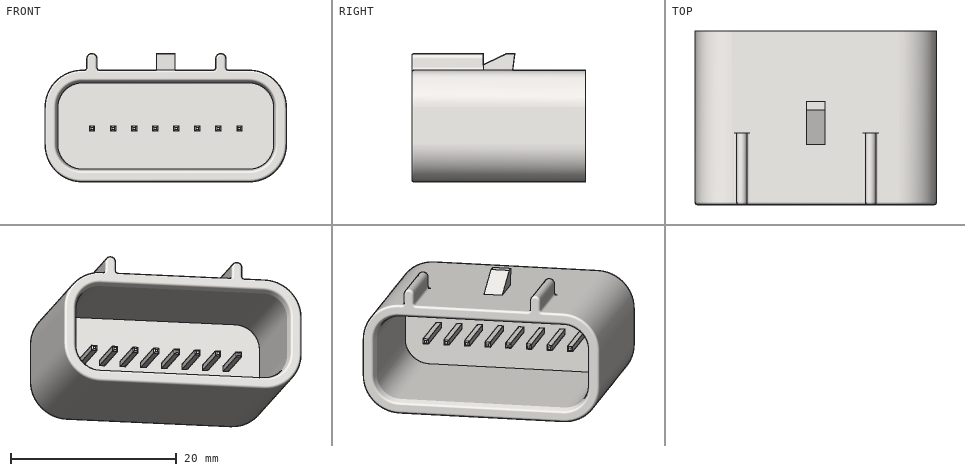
import cadquery as cq
import math

BODY_WIDTH = 29.15
BODY_DEPTH = 21.0
BODY_HEIGHT = 13.5
CORNER_RADIUS = 4.5
RIM_FILLET = 0.3

WALL = 1.55
ENTRY_WALL = 1.25
ENTRY_DEPTH = 1.0
MOUTH_FILLET = 0.3
CAVITY_DEPTH = 18.0

TOTAL_HEIGHT = 15.5
RIB_WIDTH = 1.25
RIB_LENGTH = 8.65
RIB_POSITIONS = (-8.91, 6.65)
RIB_ROOT_FILLET = 0.3
LATCH_WIDTH = 2.25
LATCH_RAMP_START = 7.25
LATCH_RAMP_END = 11.45
LATCH_TIP = 12.45
LATCH_UNDERCUT = 0.25

PIN_COUNT = 8
PIN_PITCH = 2.54
PIN_SIZE = 0.64
PIN_CHAMFER = 0.18
PIN_LENGTH = 8.0
PIN_Z = -0.3

OVERLAP = 0.3

BODY_TOP = BODY_HEIGHT / 2
FEATURE_TOP = BODY_TOP + TOTAL_HEIGHT - BODY_HEIGHT


def rounded_block(inset, length, taper=0):
    """Body outline shrunk by inset, extruded toward +Y from the front plane."""
    outline = cq.Sketch().rect(BODY_WIDTH - 2 * inset, BODY_HEIGHT - 2 * inset)
    outline = outline.vertices().fillet(CORNER_RADIUS - inset)
    plane = cq.Plane(origin=(0, 0, 0), xDir=(-1, 0, 0), normal=(0, 1, 0))
    return cq.Workplane(plane).placeSketch(outline).extrude(length, taper=taper)


def rib(x):
    """Full-round guide rib with filleted roots, running back from the front edge."""
    half = RIB_WIDTH / 2
    foot = half + RIB_ROOT_FILLET
    root_top = BODY_TOP + RIB_ROOT_FILLET
    shoulder = FEATURE_TOP - half
    base = BODY_TOP - OVERLAP
    return (
        cq.Workplane("XZ", origin=(x, 0, 0))
        .moveTo(-foot, base)
        .lineTo(-foot, BODY_TOP)
        .radiusArc((-half, root_top), -RIB_ROOT_FILLET)
        .lineTo(-half, shoulder)
        .threePointArc((0, FEATURE_TOP), (half, shoulder))
        .lineTo(half, root_top)
        .radiusArc((foot, BODY_TOP), -RIB_ROOT_FILLET)
        .lineTo(foot, base)
        .close()
        .extrude(-RIB_LENGTH)
    )


def latch():
    """Ramp rising toward the back, with a slightly undercut rear face."""
    base = BODY_TOP - OVERLAP
    heel = LATCH_TIP - LATCH_UNDERCUT
    return (
        cq.Workplane("YZ")
        .moveTo(LATCH_RAMP_START, base)
        .lineTo(LATCH_RAMP_START, BODY_TOP)
        .lineTo(LATCH_RAMP_END, FEATURE_TOP)
        .lineTo(LATCH_TIP, FEATURE_TOP)
        .lineTo(heel, BODY_TOP)
        .lineTo(heel, base)
        .close()
        .extrude(LATCH_WIDTH / 2, both=True)
    )


def cavity():
    """Straight bore with a tapered entry at the front."""
    taper = math.degrees(math.atan((WALL - ENTRY_WALL) / ENTRY_DEPTH))
    bore = rounded_block(WALL, CAVITY_DEPTH)
    return bore.union(rounded_block(ENTRY_WALL, ENTRY_DEPTH, taper))


def pin(x):
    """Square contact standing on the cavity floor, with a chamfered tip."""
    length = PIN_LENGTH + OVERLAP
    center_y = CAVITY_DEPTH - PIN_LENGTH + length / 2
    blank = cq.Workplane("XY").box(PIN_SIZE, length, PIN_SIZE)
    return blank.faces("<Y").chamfer(PIN_CHAMFER).translate((x, center_y, PIN_Z))


def housing():
    """Hollow body with its ribs and latch, rounded along both edges of the front rim."""
    body = rounded_block(0, BODY_DEPTH)
    for x in RIB_POSITIONS:
        body = body.union(rib(x))
    body = body.faces("<Y").edges().fillet(RIM_FILLET)
    body = body.cut(cavity())
    mouth = body.faces("<Y").val().innerWires()[0].Edges()
    body = body.newObject(mouth).fillet(MOUTH_FILLET)
    return body.union(latch())


result = housing()
for index in range(PIN_COUNT):
    pin_x = (index - (PIN_COUNT - 1) / 2) * PIN_PITCH
    result = result.union(pin(pin_x))